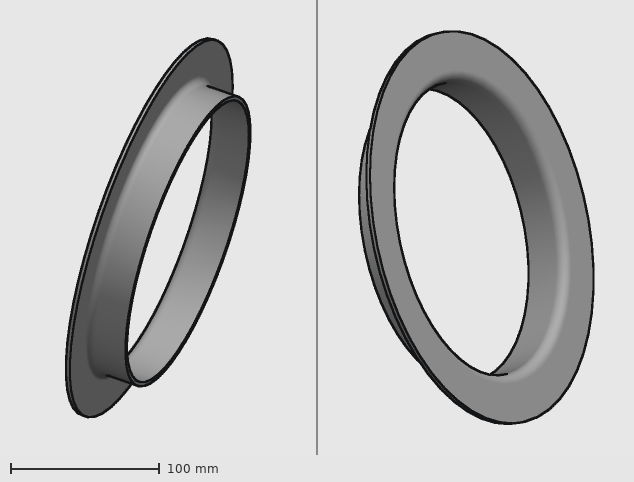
import cadquery as cq

flange_diameter = 268.0
bore_diameter = 200.0
collar_diameter = 206.0
overall_length = 30.0
inner_bend_radius = 7.0
outer_fillet_radius = 5.0

wall_thickness = (collar_diameter - bore_diameter) / 2
flange_radius = flange_diameter / 2
bore_radius = bore_diameter / 2
collar_radius = collar_diameter / 2


def make_flanged_collar():
    """Revolve the L-shaped section, bent from flange to collar, about X."""
    section = (
        cq.Workplane("XY")
        .moveTo(0, flange_radius)
        .lineTo(wall_thickness, flange_radius)
        .lineTo(wall_thickness, collar_radius + outer_fillet_radius)
        .radiusArc((wall_thickness + outer_fillet_radius, collar_radius), -outer_fillet_radius)
        .lineTo(overall_length, collar_radius)
        .lineTo(overall_length, bore_radius)
        .lineTo(inner_bend_radius, bore_radius)
        .radiusArc((0, bore_radius + inner_bend_radius), inner_bend_radius)
        .close()
    )
    return section.revolve(360, (0, 0, 0), (1, 0, 0))


result = make_flanged_collar()